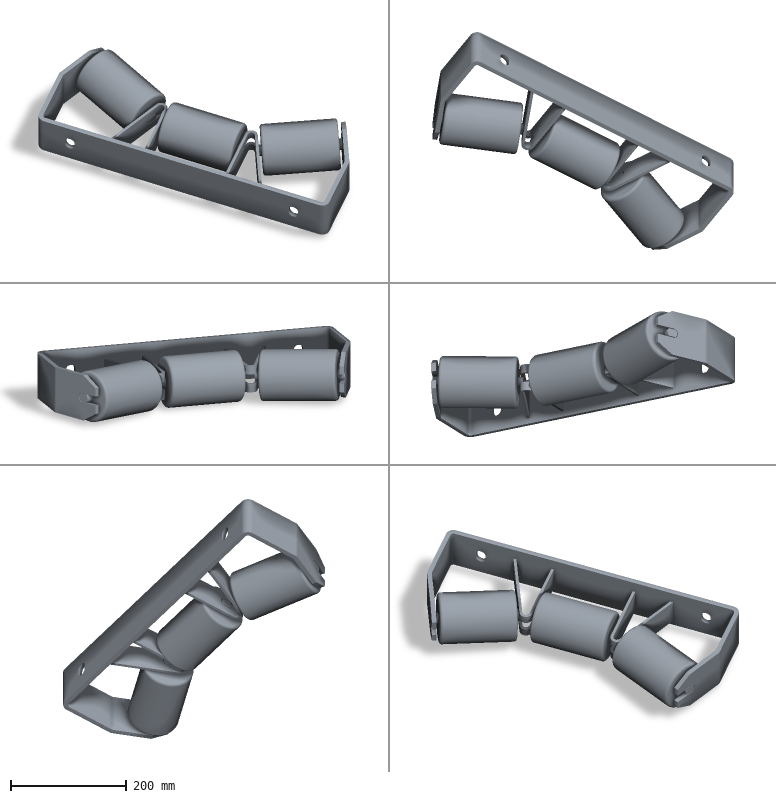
import cadquery as cq
import math


frame_length = 540.0
frame_height = 81.0
frame_thickness = 8.0
frame_bend_radius = 13.5
arm_bend_y = 109.0
arm_length = 102.0
arm_angle = 25.0
arm_corner_length = 30.0
arm_corner_height = 17.5
mount_slot_spacing = 416.0
mount_slot_width = 18.0
mount_slot_height = 26.0

roller_diameter = 90.0
roller_length = 135.0
roller_fillet = 5.0
roller_gap = 5.15
axle_diameter = 20.0
axle_flat_height = 14.0
axle_flat_start = 2.5
center_roller_y = 100.5
center_roller_z = -6.0

axle_distance = 72.0
slot_width = 17.0
slot_end_offset = 3.0

bracket_thickness = 5.0
bracket_bend_radius = 11.5
bracket_bend_y = 117.5
bracket_height = 48.0

lean = math.radians(arm_angle)
lean_sin = math.sin(lean)
lean_cos = math.cos(lean)
half_length = frame_length / 2
roller_span = roller_length + 2 * roller_gap
axle_pitch = roller_span + (frame_thickness + bracket_thickness) / 2
bracket_bend_x = -roller_span / 2 - bracket_bend_radius
roller_tilt = math.degrees(math.atan(-center_roller_z / axle_pitch))


def arm_point(along, depth):
    """XY point on the left arm, measured from its outer bend corner."""
    x = -half_length + along * lean_sin + depth * lean_cos
    y = arm_bend_y + along * lean_cos - depth * lean_sin
    return (x, y)


def mirrored(points):
    return [(-x, y) for x, y in reversed(points)]


def sheet_face(x, y, z, angle):
    """Plane on an upright sheet: local X along the sheet, normal turned from +X towards -Y."""
    along = (math.sin(angle), math.cos(angle), 0)
    inward = (math.cos(angle), -math.sin(angle), 0)
    return cq.Plane(origin=(x, y, z), xDir=along, normal=inward)


def axle_slot(face, length, depth):
    """Round-ended slot cutter around an axle at the face's origin, open towards local +X."""
    slot_end = cq.Workplane(face).center(-slot_end_offset, 0).circle(slot_width / 2).extrude(depth)
    run_length = length + slot_end_offset
    run_middle = (length - slot_end_offset) / 2
    run = cq.Workplane(face).center(run_middle, 0).rect(run_length, slot_width).extrude(depth)
    return run.union(slot_end)


def bent_strip():
    inner_bend_y = arm_bend_y - frame_thickness * math.tan(lean / 2)
    inner_x = -half_length + frame_thickness
    outer_corners = [(-half_length, 0), (-half_length, arm_bend_y)]
    inner_corners = [(inner_x, inner_bend_y), (inner_x, frame_thickness)]
    tip = [arm_point(arm_length, 0), arm_point(arm_length, frame_thickness)]
    left_side = outer_corners + tip + inner_corners
    strip = (
        cq.Workplane("XY", origin=(0, 0, -frame_height / 2))
        .polyline(left_side + mirrored(left_side))
        .close()
        .extrude(frame_height)
    )
    inner_radius = frame_bend_radius - frame_thickness
    for corners, radius in ((outer_corners, frame_bend_radius), (inner_corners, inner_radius)):
        for x, y in corners + mirrored(corners):
            strip = strip.edges(cq.selectors.NearestToPointSelector((x, y, 0))).fillet(radius)
    return strip


def arm_cutouts():
    """Open axle slot and sloped tip corners of the left arm."""
    arm_face = sheet_face(*arm_point(0, 0), 0, lean)
    axle_face = sheet_face(*arm_point(axle_distance, 0), 0, lean)
    cutouts = axle_slot(axle_face, arm_length - axle_distance, frame_thickness)
    for side in (-1, 1):
        edge_z = side * frame_height / 2
        corner = (
            cq.Workplane(arm_face)
            .polyline([
                (arm_length - arm_corner_length, edge_z),
                (arm_length, edge_z),
                (arm_length, edge_z - side * arm_corner_height),
            ])
            .close()
            .extrude(frame_thickness)
        )
        cutouts = cutouts.union(corner)
    return cutouts


def make_frame():
    mount_slots = (
        cq.Workplane("XZ")
        .rarray(mount_slot_spacing, 5.5, 2, 1)
        .slot2D(mount_slot_height, mount_slot_width, 90)
        .extrude(-frame_thickness)
    )
    left_cutouts = arm_cutouts()
    return bent_strip().cut(mount_slots).cut(left_cutouts).cut(left_cutouts.mirror("YZ"))


def make_roller(end_left, end_right):
    """Roller along X centred on the origin; each axle end reaches the given depth into its sheet."""
    drum = (
        cq.Workplane("YZ", origin=(-roller_length / 2, 0, 0))
        .circle(roller_diameter / 2)
        .extrude(roller_length)
        .edges()
        .fillet(roller_fillet)
    )
    axle_left = -roller_span / 2 - end_left
    axle_right = roller_span / 2 + end_right
    flats_left = -roller_length / 2 - axle_flat_start
    flats_right = roller_length / 2 + axle_flat_start
    axle = (
        cq.Workplane("YZ", origin=(axle_left, 0, 0))
        .circle(axle_diameter / 2)
        .extrude(axle_right - axle_left)
    )
    for start, end in ((axle_left, flats_left), (flats_right, axle_right)):
        end_face = cq.Workplane("YZ", origin=(start, 0, 0))
        end_block = end_face.rect(axle_diameter, axle_diameter).extrude(end - start)
        flat_core = end_face.rect(axle_diameter, axle_flat_height).extrude(end - start)
        axle = axle.cut(end_block.cut(flat_core))
    return drum.union(axle)


def make_center_roller():
    return make_roller(bracket_thickness, bracket_thickness).translate((0, center_roller_y, center_roller_z))


def make_left_roller():
    x, y = arm_point(axle_distance, frame_thickness + roller_span / 2)
    z = center_roller_z * (roller_span + frame_thickness) / 2 / axle_pitch
    return (
        make_roller(frame_thickness, bracket_thickness)
        .rotate((0, 0, 0), (0, 1, 0), roller_tilt)
        .rotate((0, 0, 0), (0, 0, 1), -arm_angle)
        .translate((x, y, z))
    )


def folded_sheet():
    """Folded sheet with an upright leg by the center roller and a leg parallel to the arm."""
    inner_radius = bracket_bend_radius - bracket_thickness
    fold_middle = (math.pi - lean) / 2

    def bend_point(radius, angle):
        return (bracket_bend_x + radius * math.cos(angle), bracket_bend_y + radius * math.sin(angle))

    def leg_foot(radius):
        x, y = bend_point(radius, math.pi - lean)
        return (x - (y - frame_thickness) * math.tan(lean), frame_thickness)

    return (
        cq.Workplane("XY", origin=(0, 0, center_roller_z - bracket_height / 2))
        .moveTo(bracket_bend_x + bracket_bend_radius, frame_thickness)
        .lineTo(*bend_point(bracket_bend_radius, 0))
        .threePointArc(bend_point(bracket_bend_radius, fold_middle),
                       bend_point(bracket_bend_radius, math.pi - lean))
        .lineTo(*leg_foot(bracket_bend_radius))
        .lineTo(*leg_foot(inner_radius))
        .lineTo(*bend_point(inner_radius, math.pi - lean))
        .threePointArc(bend_point(inner_radius, fold_middle), bend_point(inner_radius, 0))
        .lineTo(bracket_bend_x + inner_radius, frame_thickness)
        .close()
        .extrude(bracket_height)
    )


def make_left_bracket():
    """Folded sheet with an axle slot in each leg; the two slots run into each other through the fold."""
    slot_length = bracket_bend_y + bracket_bend_radius - center_roller_y
    upright_face = sheet_face(bracket_bend_x, center_roller_y, center_roller_z, 0)
    x, y = arm_point(axle_distance, frame_thickness + roller_span)
    leaning_face = sheet_face(x, y, center_roller_z, lean)
    bracket = folded_sheet()
    for face in (upright_face, leaning_face):
        bracket = bracket.cut(axle_slot(face, slot_length, bracket_bend_radius))
    return bracket


frame = make_frame()
center_roller = make_center_roller()

side_solids = []
for left_body in (make_left_roller(), make_left_bracket()):
    side_solids.append(left_body.val())
    side_solids.append(left_body.mirror("YZ").val())

result = cq.Compound.makeCompound([frame.val(), center_roller.val(), *side_solids])